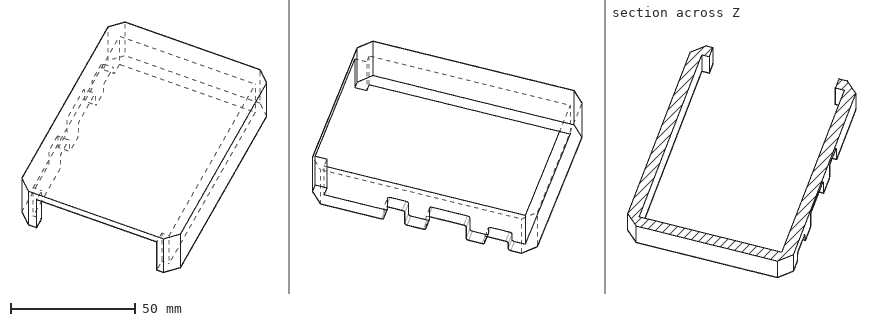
import cadquery as cq

width = 70.0
length = 95.0
height = 21.9
corner_x = 5.2
corner_y = 5.0

wall = 5.0
roof = 3.6
opening_left = -26.2
opening_right = 26.8

notches = [
    (31.8, 10.0, 5.2),
    (10.5, 17.0, 8.9),
    (-11.3, 8.8, 8.6),
]
corner_radius = 1.0

cut_height = height - roof


def make_body():
    """Block with its four upright corners cut off."""
    half_x = width / 2
    half_y = length / 2
    outline = [
        (half_x, half_y - corner_y),
        (half_x - corner_x, half_y),
        (corner_x - half_x, half_y),
        (-half_x, half_y - corner_y),
        (-half_x, corner_y - half_y),
        (corner_x - half_x, -half_y),
        (half_x - corner_x, -half_y),
        (half_x, corner_y - half_y),
    ]
    return cq.Workplane("XY").polyline(outline).close().extrude(height)


def make_cavity():
    """Rectangular hollow, open at the bottom."""
    return cq.Workplane("XY").rect(width - 2 * wall, length - 2 * wall).extrude(cut_height)


def make_opening():
    """Doorway through the -Y wall, slightly off centre."""
    opening_width = opening_right - opening_left
    return cq.Workplane("XY").box(
        opening_width, wall, cut_height, centered=False
    ).translate((opening_left, -length / 2, 0))


def make_notch(center_y, notch_width, notch_height):
    """Notch through the -X wall, rounded at the top and flared at its mouth."""
    half = notch_width / 2
    return (
        cq.Workplane("YZ", origin=(-width / 2, center_y, 0))
        .moveTo(-half - corner_radius, 0)
        .radiusArc((-half, corner_radius), -corner_radius)
        .lineTo(-half, notch_height - corner_radius)
        .radiusArc((-half + corner_radius, notch_height), corner_radius)
        .lineTo(half - corner_radius, notch_height)
        .radiusArc((half, notch_height - corner_radius), corner_radius)
        .lineTo(half, corner_radius)
        .radiusArc((half + corner_radius, 0), -corner_radius)
        .close()
        .extrude(wall)
    )


result = make_body().cut(make_cavity()).cut(make_opening())
for notch in notches:
    result = result.cut(make_notch(*notch))